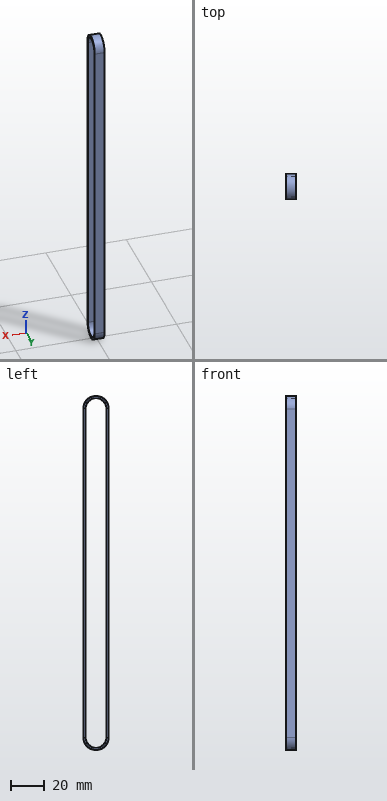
import cadquery as cq

height = 210.2
loop_width = 15.1
band_width = 6.0
wall = 1.5

outer = cq.Workplane("YZ").slot2D(height, loop_width, 90).extrude(band_width / 2, both=True)
inner = (
    cq.Workplane("YZ")
    .slot2D(height - 2 * wall, loop_width - 2 * wall, 90)
    .extrude(band_width / 2, both=True)
)

result = outer.cut(inner)